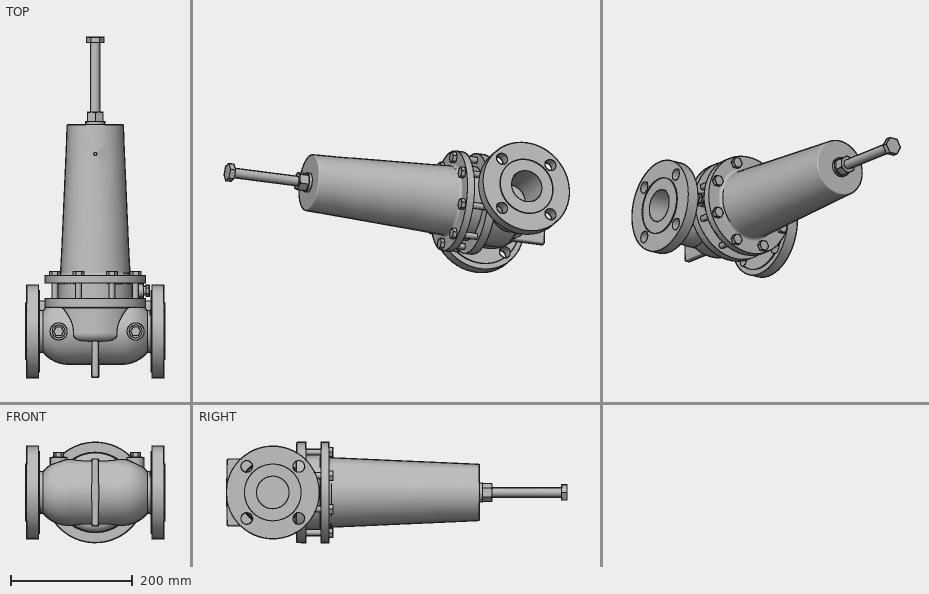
import cadquery as cq
import math


face_to_face = 228.6
flange_radius = 152.4 / 2
flange_back_x = 92.8
raised_face_radius = 46.5
raised_face_height = 1.6
back_pad_radius = 67.0
back_pad_height = 1.6
bolt_circle_radius = 120.65 / 2
bolt_hole_diameter = 19.0
bolt_hole_count = 4
bore_diameter = 53.5
bore_depth = 75.0

body_radius = 54.2
sphere_center_x = 43.6
neck_radius = 34.5
neck_fillet = 1.8
neck_rib_x = 79.0
neck_rib_top_y = 50.0
neck_rib_thickness = 11.2
neck_rib_rounding = 5.4

plug_centers_x = (-60.0, 66.2)
plug_center_y = 0.0
boss_radius = 14.0
boss_top_z = 57.0
plug_collar_radius = 10.5
plug_collar_height = 1.5
plug_hex_flats = 14.2
plug_top_z = 65.6

plate_thickness = 12.0
plate_half_width = 55.0
plate_end_y = -75.9
plate_edge_radius = 2.8
plate_tip_thickness = 10.0
plate_root_fillet = 3.0

bonnet_radius = 65.0
bonnet_bottom_y = -16.2
bonnet_bottom_radius = 13.0
cover_flange_radius = 165.1 / 2
lower_flange_y = (39.0, 54.3)
lower_flange_fillet = 2.0
bonnet_root_fillet = 1.0
upper_flange_y = (79.3, 91.8)
spool_radius = 61.0
spool_fillet = 1.8

stud_count = 8
stud_circle_radius = 71.5
stud_diameter = 10.0
stud_hex_flats = 15.5
stud_head_height = 6.6

breather_boss_radius = 11.0
breather_boss_end_x = 79.0
breather_collar_radius = 7.5
breather_collar_end_x = 83.0
breather_hex_flats = 16.0
breather_end_x = 88.8

housing_bottom_radius = 57.0
housing_base_fillet = 4.5
housing_top_radius = 46.3
housing_top_y = 338.8
housing_top_fillet = 1.8
vent_hole_y = 291.0
vent_hole_diameter = 5.0
vent_hole_depth = 5.0
washer_radius = 15.8
washer_top_y = 343.8
lock_nut_flats = 26.0
lock_nut_top_y = 359.4
lock_nut_chamfer = 1.5
lock_nut_turn = 30.0
screw_radius = 8.0
screw_head_flats = 25.5
screw_head_bottom_y = 473.4
screw_top_y = 558.67 - flange_radius

hex_flats_to_corners = 2 / math.sqrt(3)
X_AXIS = cq.Vector(1, 0, 0)
Y_AXIS = cq.Vector(0, 1, 0)
Z_AXIS = cq.Vector(0, 0, 1)


def cylinder_x(radius, x_start, x_end, y=0.0):
    return cq.Workplane("YZ", origin=(x_start, y, 0)).circle(radius).extrude(x_end - x_start)


def cylinder_y(radius, y_start, y_end, x=0.0, z=0.0):
    return cq.Workplane("XZ", origin=(x, y_start, z)).circle(radius).extrude(y_start - y_end)


def hexagon(plane, origin, flats, length, turn=0.0):
    """Hexagonal prism with two corners on the plane's local X axis, rotated by turn degrees."""
    outline = cq.Workplane(plane, origin=origin).transformed(rotate=(0, 0, turn))
    return outline.polygon(6, flats * hex_flats_to_corners).extrude(length)


def hexagon_y(flats, y_start, y_end, x=0.0, z=0.0, turn=0.0):
    return hexagon("XZ", (x, y_start, z), flats, y_start - y_end, turn)


def concave_fillet(axis, radius, position, size, direction):
    """Ring filling the corner between a cylinder on the axis and a shoulder facing the direction."""
    outward = axis * direction
    plane = cq.Plane(origin=axis * position, xDir=Z_AXIS, normal=Z_AXIS.cross(outward))
    bulge = size * (1 - 1 / math.sqrt(2))
    ring = (
        cq.Workplane(plane)
        .moveTo(0, 0)
        .lineTo(radius + size, 0)
        .threePointArc((radius + bulge, bulge), (radius, size))
        .lineTo(0, size)
        .close()
    )
    return ring.revolve(360, (0, 0, 0), (0, 1, 0))


def barrel():
    neck_x = sphere_center_x + math.sqrt(body_radius**2 - neck_radius**2)
    diagonal = body_radius / math.sqrt(2)
    profile = (
        cq.Workplane("XY")
        .moveTo(-flange_back_x, 0)
        .lineTo(-flange_back_x, neck_radius)
        .lineTo(-neck_x, neck_radius)
        .threePointArc((-sphere_center_x - diagonal, diagonal), (-sphere_center_x, body_radius))
        .lineTo(sphere_center_x, body_radius)
        .threePointArc((sphere_center_x + diagonal, diagonal), (neck_x, neck_radius))
        .lineTo(flange_back_x, neck_radius)
        .lineTo(flange_back_x, 0)
        .close()
    )
    return profile.revolve(360, (0, 0, 0), (1, 0, 0))


def pipe_flange(side):
    outer_x = face_to_face / 2
    face_x = outer_x - raised_face_height
    flange = cylinder_x(flange_radius, side * flange_back_x, side * face_x)
    flange = flange.union(cylinder_x(raised_face_radius, side * flange_back_x, side * outer_x))
    pad_x = flange_back_x - back_pad_height
    flange = flange.union(cylinder_x(back_pad_radius, side * pad_x, side * face_x))
    holes = (
        cq.Workplane("YZ", origin=(side * pad_x, 0, 0))
        .polarArray(bolt_circle_radius, 180 / bolt_hole_count, 360, bolt_hole_count)
        .circle(bolt_hole_diameter / 2)
        .extrude(side * (outer_x - pad_x))
    )
    neck_fillet_ring = concave_fillet(X_AXIS, neck_radius, side * pad_x, neck_fillet, -side)
    return flange.cut(holes).union(neck_fillet_ring)


def neck_rib(side):
    length = flange_back_x - neck_rib_x
    center_x = side * (flange_back_x + neck_rib_x) / 2
    rib = cq.Workplane("XY").box(length, neck_rib_top_y, neck_rib_thickness)
    rib = rib.edges("|X and >Y").fillet(neck_rib_rounding)
    return rib.translate((center_x, neck_rib_top_y / 2, 0))


def body_plug(x):
    boss = cq.Workplane("XY", origin=(x, plug_center_y, 0)).circle(boss_radius).extrude(boss_top_z)
    collar_origin = (x, plug_center_y, boss_top_z)
    collar = cq.Workplane("XY", origin=collar_origin).circle(plug_collar_radius).extrude(plug_collar_height)
    head = hexagon("XY", collar_origin, plug_hex_flats, plug_top_z - boss_top_z)
    return boss.union(collar).union(head)


def foot_plate():
    """Plate drafted both ways from the parting plane Z = 0."""
    draft = math.degrees(math.atan((plate_thickness - plate_tip_thickness) / 2 / plate_half_width))
    outline = cq.Workplane("XY").center(0, plate_end_y / 2).rect(plate_thickness, -plate_end_y)
    upper_half = outline.extrude(plate_half_width, taper=draft)
    upper_half = upper_half.faces("<Y or >Z").edges("not(<Z or >Y)").fillet(plate_edge_radius)
    return upper_half.union(upper_half.mirror("XY"))


def foot_plate_root():
    """Concave fillets where the two sides of the foot plate meet the barrel."""
    side_x = plate_tip_thickness / 2
    fillets = concave_fillet(X_AXIS, body_radius, -side_x, plate_root_fillet, -1)
    fillets = fillets.union(concave_fillet(X_AXIS, body_radius, side_x, plate_root_fillet, 1))
    reach = cq.Workplane("XY").box(4 * plate_thickness, -plate_end_y, 2 * plate_half_width)
    return fillets.intersect(reach.translate((0, plate_end_y / 2, 0)))


def bonnet():
    neck = cylinder_y(bonnet_radius, bonnet_bottom_y, lower_flange_y[1])
    neck = neck.faces("<Y").edges().fillet(bonnet_bottom_radius)
    lower_flange = cylinder_y(cover_flange_radius, *lower_flange_y)
    lower_flange = lower_flange.faces("<Y").edges().fillet(lower_flange_fillet)
    spool = cylinder_y(spool_radius, lower_flange_y[0], upper_flange_y[1])
    upper_flange = cylinder_y(cover_flange_radius, *upper_flange_y)
    cover = neck.union(lower_flange).union(spool).union(upper_flange)
    cover = cover.union(concave_fillet(Y_AXIS, bonnet_radius, lower_flange_y[0], bonnet_root_fillet, -1))
    return cover.union(concave_fillet(Y_AXIS, spool_radius, upper_flange_y[0], spool_fillet, -1))


def stud(index):
    angle = 2 * math.pi * (index + 0.5) / stud_count
    x = stud_circle_radius * math.cos(angle)
    z = stud_circle_radius * math.sin(angle)
    shank = cylinder_y(stud_diameter / 2, lower_flange_y[0] + lower_flange_fillet, upper_flange_y[1], x, z)
    head_top_y = upper_flange_y[1] + stud_head_height
    return shank.union(hexagon_y(stud_hex_flats, upper_flange_y[1], head_top_y, x, z))


def breather_plug():
    y = (lower_flange_y[1] + upper_flange_y[0]) / 2
    plug = cylinder_x(breather_boss_radius, 0, breather_boss_end_x, y)
    plug = plug.union(cylinder_x(breather_collar_radius, 0, breather_collar_end_x, y))
    head_length = breather_end_x - breather_collar_end_x
    head = hexagon("YZ", (breather_collar_end_x, y, 0), breather_hex_flats, head_length)
    return plug.union(head)


def housing_radius_at(y):
    bottom_y = upper_flange_y[1] + stud_head_height
    fraction = (y - bottom_y) / (housing_top_y - bottom_y)
    return housing_bottom_radius + fraction * (housing_top_radius - housing_bottom_radius)


def spring_housing():
    base_top_y = upper_flange_y[1] + stud_head_height
    base = cylinder_y(housing_bottom_radius, upper_flange_y[0], base_top_y)
    base = base.union(concave_fillet(Y_AXIS, housing_bottom_radius, upper_flange_y[1], housing_base_fillet, 1))
    cone = (
        cq.Workplane("ZY")
        .moveTo(0, base_top_y)
        .lineTo(housing_bottom_radius, base_top_y)
        .lineTo(housing_top_radius, housing_top_y)
        .lineTo(0, housing_top_y)
        .close()
        .revolve(360, (0, 0, 0), (0, 1, 0))
    )
    cone = cone.faces(">Y").edges().fillet(housing_top_fillet)
    vent_origin = (0, vent_hole_y, housing_radius_at(vent_hole_y) - vent_hole_depth)
    vent = cq.Workplane("XY", origin=vent_origin).circle(vent_hole_diameter / 2).extrude(2 * vent_hole_depth)
    return base.union(cone).cut(vent)


def adjusting_screw():
    washer = cylinder_y(washer_radius, housing_top_y, washer_top_y)
    lock_nut = hexagon_y(lock_nut_flats, washer_top_y, lock_nut_top_y, turn=lock_nut_turn)
    nut_corner_radius = lock_nut_flats * hex_flats_to_corners / 2
    nut_blank = cylinder_y(nut_corner_radius, washer_top_y, lock_nut_top_y)
    lock_nut = lock_nut.intersect(nut_blank.faces(">Y").edges().chamfer(lock_nut_chamfer))
    shank = cylinder_y(screw_radius, housing_top_y, screw_top_y)
    head = hexagon_y(screw_head_flats, screw_head_bottom_y, screw_top_y)
    return washer.union(lock_nut).union(shank).union(head)


part = barrel().union(foot_plate()).union(foot_plate_root()).union(bonnet())
for side in (-1, 1):
    part = part.union(pipe_flange(side)).union(neck_rib(side))
for plug_x in plug_centers_x:
    part = part.union(body_plug(plug_x))
for index in range(stud_count):
    part = part.union(stud(index))
part = part.union(breather_plug()).union(spring_housing()).union(adjusting_screw())

for side in (-1, 1):
    bore_end_x = face_to_face / 2 - bore_depth
    part = part.cut(cylinder_x(bore_diameter / 2, side * bore_end_x, side * face_to_face / 2))

result = part